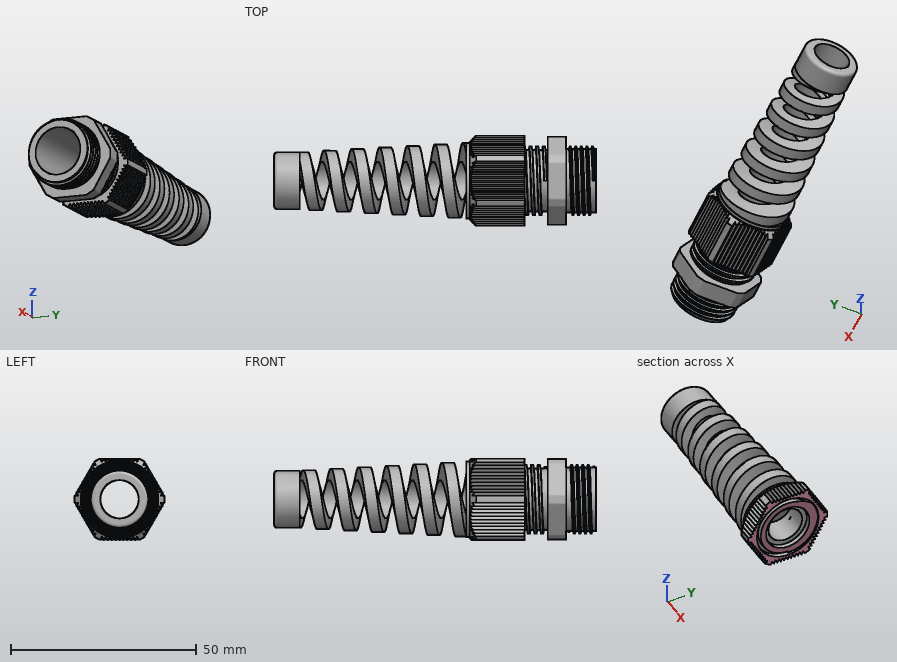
import cadquery as cq
import math


bore_diameter = 10.3
end_ring_diameter = 15.48
end_ring_length = 7.0
end_ring_round = 0.95
collar_diameter = 20.48
collar_start = 51.9
collar_end = 52.9

spiral_pitch = 7.5
spiral_crest_width = 3.1
spiral_base_width = 4.1
spiral_top_position = 9.43

nut_end = 67.7
nut_across_flats = 22.01
nut_across_corners = 24.41
nut_corner_round = 1.75
nut_front_diameter = 21.0
knurl_pitch = 1.055
grooves_per_flat = 10
groove_depth = knurl_pitch / 2 * math.tan(math.radians(60))
nut_seat = 57.0
nut_clearance = 0.1

body_bore_diameter = 13.15
neck_diameter = 16.7
hex_start = 73.9
hex_width = 5.0
hex_across_flats = 21.85
hex_across_corners = 23.87
hex_corner_round = 1.0
stem_diameter = 17.22
body_end = 87.0

thread_diameter = 18.6
thread_base_width = 1.0
thread_sink = 0.2
runout_turns = 0.25
runout_height = 0.4
neck_thread_pitch = 1.8
neck_thread_end = 73.35
neck_thread_turns = 8.5
neck_thread_crest_width = 0.6
stem_thread_pitch = 1.5
stem_thread_end = 86.4
stem_thread_turns = 4.5
stem_thread_crest_width = 0.25

points_per_turn = 24
quarter_turn = 0.25


def disc(start, end, diameter):
    """Solid cylinder on the X axis."""
    return cq.Workplane("YZ", origin=(start, 0, 0)).circle(diameter / 2).extrude(end - start)


def sharp_corner(across_flats):
    """Corner-to-corner size of a hexagon."""
    return across_flats / math.cos(math.radians(30))


def eased_hexagon(start, end, across_flats, across_corners, corner_round):
    """Hexagon with flats at +Z and -Z; each corner is cut flat and the cut is rounded in."""
    plane = cq.Workplane("YZ", origin=(start, 0, 0))
    hexagon = plane.polygon(6, sharp_corner(across_flats)).extrude(end - start)
    corner_cut = plane.polygon(6, sharp_corner(across_corners)).extrude(end - start)
    corner_cut = corner_cut.rotate((0, 0, 0), (1, 0, 0), 30)
    return hexagon.intersect(corner_cut).edges("|X").fillet(corner_round)


def helix_edge(first_turn, last_turn, pitch, middle_at_zero, corner):
    """Right-handed spline helix; corner(turn) gives the axial offset and the radius."""
    count = math.ceil((last_turn - first_turn) * points_per_turn)
    turns = [first_turn + (last_turn - first_turn) * step / count for step in range(count + 1)]
    points = []
    for turn in turns:
        offset, radius = corner(turn)
        angle = 2 * math.pi * turn
        x = middle_at_zero + pitch * turn + offset
        points.append(cq.Vector(x, radius * math.cos(angle), radius * math.sin(angle)))
    return cq.Edge.makeSpline(points, parameters=turns)


def helical_bar(first_turn, last_turn, pitch, middle_at_zero, widths, base_radius, crest_radius):
    """Trapezoidal bar wound around the X axis; crest_radius is a function of the turn."""
    base_width, crest_width = widths
    corners = [
        lambda turn: (-base_width / 2, base_radius),
        lambda turn: (-crest_width / 2, crest_radius(turn)),
        lambda turn: (crest_width / 2, crest_radius(turn)),
        lambda turn: (base_width / 2, base_radius),
    ]
    edges = [helix_edge(first_turn, last_turn, pitch, middle_at_zero, corner) for corner in corners]
    faces = [cq.Face.makeRuledSurface(edges[i - 1], edges[i]) for i in range(len(edges))]
    for end_point in (cq.Edge.startPoint, cq.Edge.endPoint):
        outline = cq.Wire.makePolygon([end_point(edge) for edge in edges], close=True)
        faces.append(cq.Face.makeFromWires(outline))
    bar = cq.Solid.makeSolid(cq.Shell.makeShell(faces))
    return cq.Workplane(bar.fix())


def make_spiral():
    middle_at_zero = spiral_top_position - quarter_turn * spiral_pitch
    growth = (collar_diameter - end_ring_diameter) / 2 / (collar_end - end_ring_length)

    def crest_radius(turn):
        middle = middle_at_zero + spiral_pitch * turn
        return end_ring_diameter / 2 + growth * (middle - end_ring_length)

    first_turn = (end_ring_length - spiral_base_width - middle_at_zero) / spiral_pitch
    last_turn = (collar_start + spiral_base_width - middle_at_zero) / spiral_pitch
    inner_radius = bore_diameter / 2
    widths = (spiral_base_width, spiral_crest_width)
    bar = helical_bar(
        first_turn, last_turn, spiral_pitch, middle_at_zero, widths, inner_radius, crest_radius
    )
    return bar.intersect(disc(end_ring_length, collar_start, nut_across_corners))


def make_knurled_hexagon():
    apothem = nut_across_flats / 2
    half_flat = apothem * math.tan(math.radians(30))
    outline = []
    for side in range(6):
        side_angle = math.radians(30 + 60 * side)
        flat = [(-half_flat, apothem)]
        for step in range(2 * grooves_per_flat + 1):
            along = (step - grooves_per_flat) * knurl_pitch / 2
            flat.append((along, apothem - groove_depth * (step % 2)))
        for along, out in flat:
            y = out * math.cos(side_angle) - along * math.sin(side_angle)
            z = out * math.sin(side_angle) + along * math.cos(side_angle)
            outline.append((y, z))
    knurl = cq.Workplane("YZ", origin=(collar_end, 0, 0)).polyline(outline).close()
    knurl = knurl.extrude(nut_end - collar_end)
    hexagon = eased_hexagon(
        collar_end, nut_end, nut_across_flats, nut_across_corners, nut_corner_round
    )
    envelope_diameter = sharp_corner(nut_across_flats)
    cone_length = (envelope_diameter - nut_front_diameter) / 2
    envelope = disc(collar_end, nut_end, envelope_diameter).faces("<X").chamfer(cone_length)
    return hexagon.intersect(knurl).intersect(envelope)


def make_cap_nut():
    ring = disc(0, end_ring_length, end_ring_diameter).faces("<X").edges().fillet(end_ring_round)
    collar = disc(collar_start, collar_end, collar_diameter)
    socket = disc(nut_seat, nut_end, thread_diameter + 2 * nut_clearance)
    bore = disc(0, nut_end, bore_diameter)
    nut = make_knurled_hexagon().union(collar).cut(bore).cut(socket)
    return nut.union(make_spiral()).union(ring.cut(bore))


def make_thread(end, turns, pitch, crest_width, core_diameter):
    """Thread that starts at -Z and is lower at both ends."""
    first_turn = 3 * quarter_turn
    last_turn = first_turn + turns
    height = (thread_diameter - core_diameter) / 2

    def crest_radius(turn):
        from_end = min(turn - first_turn, last_turn - turn)
        rise = min(1, max(0, from_end / runout_turns))
        return core_diameter / 2 + height * (runout_height + (1 - runout_height) * rise)

    return helical_bar(
        first_turn,
        last_turn,
        pitch,
        end - pitch * last_turn,
        (thread_base_width, crest_width),
        core_diameter / 2 - thread_sink,
        crest_radius,
    )


def make_body():
    neck = disc(nut_seat, hex_start, neck_diameter)
    stem = disc(hex_start + hex_width, body_end, stem_diameter)
    neck_thread = make_thread(
        neck_thread_end, neck_thread_turns, neck_thread_pitch, neck_thread_crest_width, neck_diameter
    )
    stem_thread = make_thread(
        stem_thread_end, stem_thread_turns, stem_thread_pitch, stem_thread_crest_width, stem_diameter
    )
    hexagon = eased_hexagon(
        hex_start, hex_start + hex_width, hex_across_flats, hex_across_corners, hex_corner_round
    )
    body = hexagon.union(neck).union(stem)
    body = body.union(neck_thread).union(stem_thread)
    return body.cut(disc(nut_seat, body_end, body_bore_diameter))


cap_nut = make_cap_nut()
gland_body = make_body()
result = cq.Compound.makeCompound([cap_nut.val(), gland_body.val()])